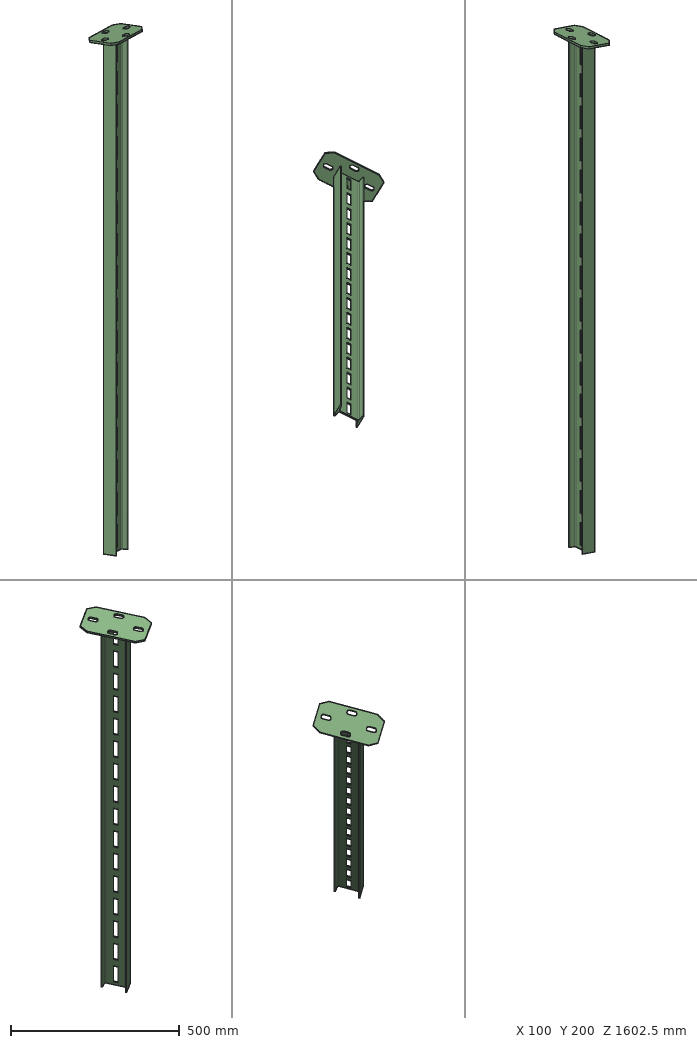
import cadquery as cq

total_height = 1602.5

plate_width = 100.0
plate_depth = 200.0
plate_thickness = 7.0
corner_cut_x = 15.0
corner_cut_y = 25.0
plate_slot_length = 30.0
plate_slot_width = 14.0
end_slot_offset = 70.0
side_slot_offset = 34.0

beam_depth = 80.0
flange_width = 42.0
web_thickness = 3.9
flange_thickness = 5.9
flange_slope = 0.14
root_radius = 3.9
toe_radius = 2.3
beam_length = total_height - plate_thickness

web_slot_count = 16
web_slot_pitch = 100.0
web_slot_length = 70.0
web_slot_width = 14.0
first_web_slot_height = (beam_length - (web_slot_count - 1) * web_slot_pitch) / 2

slot_upright = 90.0


def round_upright_edges(body, x, y, radius):
    """Fillet the four upright edges of the beam at (+-x, +-y)."""
    reach = 0.1
    for side_x in (-x, x):
        for side_y in (-y, y):
            corner = cq.selectors.BoxSelector(
                (side_x - reach, side_y - reach, 0),
                (side_x + reach, side_y + reach, beam_length),
            )
            body = body.edges("|Z").edges(corner).fillet(radius)
    return body


def make_beam_blank():
    """I-section standing along Z, web in the YZ plane, flanges facing +Y and -Y."""
    half_depth = beam_depth / 2
    half_flange = flange_width / 2
    half_web = web_thickness / 2
    gauge_x = flange_width / 4
    toe_y = half_depth - flange_thickness + flange_slope * (half_flange - gauge_x)
    root_y = half_depth - flange_thickness - flange_slope * (gauge_x - half_web)

    outline = [
        (-half_flange, half_depth),
        (half_flange, half_depth),
        (half_flange, toe_y),
        (half_web, root_y),
        (half_web, -root_y),
        (half_flange, -toe_y),
        (half_flange, -half_depth),
        (-half_flange, -half_depth),
        (-half_flange, -toe_y),
        (-half_web, -root_y),
        (-half_web, root_y),
        (-half_flange, toe_y),
    ]
    blank = cq.Workplane("XY").polyline(outline).close().extrude(beam_length)
    blank = round_upright_edges(blank, half_web, root_y, root_radius)
    return round_upright_edges(blank, half_flange, toe_y, toe_radius)


def make_web_slot_cutters():
    """Upright bars, one above the other, crossing the web along X."""
    heights = [first_web_slot_height + i * web_slot_pitch for i in range(web_slot_count)]
    return (
        cq.Workplane("YZ")
        .pushPoints([(0, height) for height in heights])
        .rect(web_slot_width, web_slot_length)
        .extrude(web_thickness, both=True)
    )


def make_head_plate():
    """Plate with cut corners resting on the beam's top end, with four fixing slots."""
    half_width = plate_width / 2
    half_depth = plate_depth / 2
    corner_x = half_width - corner_cut_x
    corner_y = half_depth - corner_cut_y
    outline = [
        (corner_x, half_depth),
        (half_width, corner_y),
        (half_width, -corner_y),
        (corner_x, -half_depth),
        (-corner_x, -half_depth),
        (-half_width, -corner_y),
        (-half_width, corner_y),
        (-corner_x, half_depth),
    ]
    slot_centres = [
        (0, end_slot_offset),
        (0, -end_slot_offset),
        (side_slot_offset, 0),
        (-side_slot_offset, 0),
    ]
    base = cq.Workplane("XY").workplane(offset=beam_length)
    plate = base.polyline(outline).close().extrude(plate_thickness)
    slots = (
        base.pushPoints(slot_centres)
        .slot2D(plate_slot_length, plate_slot_width, slot_upright)
        .extrude(plate_thickness)
    )
    return plate.cut(slots)


beam = make_beam_blank().cut(make_web_slot_cutters()).solids()
head_plate = make_head_plate().solids()

result = cq.Compound.makeCompound([beam.val(), head_plate.val()])